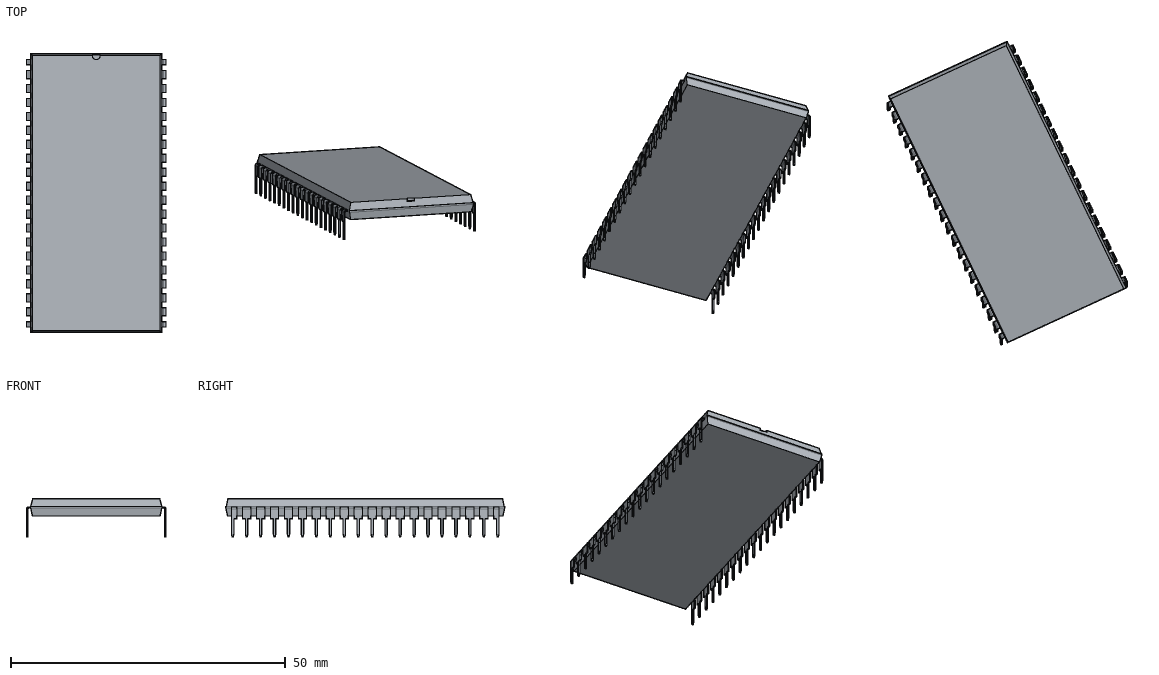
import cadquery as cq

BODY_WIDTH = 23.9
BODY_LENGTH = 50.8
BODY_HEIGHT = 3.2
BAND_HEIGHT = 0.3
BAND_LEDGE = 0.1
TOP_INSET = 0.38
BOTTOM_INSET = 0.32
NOTCH_RADIUS = 0.7
NOTCH_DEPTH = 0.5

PINS_PER_SIDE = 20
PITCH = 2.54
LEAD_SPAN = 25.4
LEAD_THICKNESS = 0.25
BEND_RADIUS = 0.42
SHOULDER_WIDTH = 1.52
BLADE_WIDTH = 0.48
TAPER_LENGTH = 0.5
TAPER_INSET = 0.13

SEATING_Z = 0.0
TOTAL_HEIGHT = 6.98
BODY_TOP = 3.7
BODY_BOTTOM = BODY_TOP - BODY_HEIGHT
LEAD_BOTTOM = BODY_TOP - TOTAL_HEIGHT
BAND_MIDDLE = (BODY_TOP + BODY_BOTTOM) / 2
BAND_TOP = BAND_MIDDLE + BAND_HEIGHT / 2
BAND_BOTTOM = BAND_MIDDLE - BAND_HEIGHT / 2
LEAD_TOP = BAND_BOTTOM + LEAD_THICKNESS

LEAD_EMBED = 1.0


def body_half(parting_z, face_z, inset, ledge):
    """Tapered block, set back from the band by the ledge at the Y ends, up or down to an inset face."""
    return (
        cq.Workplane("XY", origin=(0, 0, parting_z))
        .rect(BODY_WIDTH, BODY_LENGTH - 2 * ledge)
        .workplane(offset=face_z - parting_z)
        .rect(BODY_WIDTH - 2 * inset, BODY_LENGTH - 2 * inset)
        .loft(ruled=True)
    )


def make_body():
    """Straight band between two tapered halves, with a pin 1 notch at the +Y end."""
    band = (
        cq.Workplane("XY", origin=(0, 0, BAND_BOTTOM))
        .rect(BODY_WIDTH, BODY_LENGTH)
        .extrude(BAND_HEIGHT)
    )
    upper_half = body_half(BAND_TOP, BODY_TOP, TOP_INSET, BAND_LEDGE)
    lower_half = body_half(BAND_BOTTOM, BODY_BOTTOM, BOTTOM_INSET, 0)
    body = band.union(upper_half).union(lower_half)
    notch = (
        cq.Workplane("XY", origin=(0, BODY_LENGTH / 2 - TOP_INSET, BODY_TOP))
        .circle(NOTCH_RADIUS)
        .extrude(-NOTCH_DEPTH)
    )
    return body.cut(notch)


def lead_strip():
    """Bent strip on the -X side, as wide as a full shoulder and centred on Y = 0."""
    outer_x = -LEAD_SPAN / 2
    inner_x = outer_x + LEAD_THICKNESS
    root_x = -BODY_WIDTH / 2 + LEAD_EMBED
    lead_underside = LEAD_TOP - LEAD_THICKNESS
    bend_x = outer_x + BEND_RADIUS
    bend_z = LEAD_TOP - BEND_RADIUS
    inner_radius = BEND_RADIUS - LEAD_THICKNESS
    return (
        cq.Workplane("XZ")
        .moveTo(root_x, LEAD_TOP)
        .lineTo(bend_x, LEAD_TOP)
        .radiusArc((outer_x, bend_z), -BEND_RADIUS)
        .lineTo(outer_x, LEAD_BOTTOM)
        .lineTo(inner_x, LEAD_BOTTOM)
        .lineTo(inner_x, bend_z)
        .radiusArc((bend_x, lead_underside), inner_radius)
        .lineTo(root_x, lead_underside)
        .close()
        .extrude(SHOULDER_WIDTH / 2, both=True)
    )


def lead_outline(shoulder_start, shoulder_end):
    """Face-on outline of a lead, extruded from the centre out to the -X lead faces."""
    half_blade = BLADE_WIDTH / 2
    half_point = half_blade - TAPER_INSET
    taper_z = LEAD_BOTTOM + TAPER_LENGTH
    shoulder = (
        cq.Workplane("YZ")
        .moveTo(shoulder_start, SEATING_Z)
        .lineTo(shoulder_end, SEATING_Z)
        .lineTo(shoulder_end, LEAD_TOP)
        .lineTo(shoulder_start, LEAD_TOP)
        .close()
        .extrude(-LEAD_SPAN / 2)
    )
    blade = (
        cq.Workplane("YZ")
        .moveTo(-half_blade, SEATING_Z)
        .lineTo(-half_blade, taper_z)
        .lineTo(-half_point, LEAD_BOTTOM)
        .lineTo(half_point, LEAD_BOTTOM)
        .lineTo(half_blade, taper_z)
        .lineTo(half_blade, SEATING_Z)
        .close()
        .extrude(-LEAD_SPAN / 2)
    )
    return shoulder.union(blade)


def make_lead_row():
    """Row of leads on the -X side; the end leads have a shoulder on their inner side only."""
    strip = lead_strip()
    half_shoulder = SHOULDER_WIDTH / 2
    half_blade = BLADE_WIDTH / 2
    full_lead = strip.intersect(lead_outline(-half_shoulder, half_shoulder))
    first_lead = strip.intersect(lead_outline(-half_blade, half_shoulder))
    last_lead = strip.intersect(lead_outline(-half_shoulder, half_blade))
    leads = [first_lead] + [full_lead] * (PINS_PER_SIDE - 2) + [last_lead]
    first_y = -PITCH * (PINS_PER_SIDE - 1) / 2
    return [lead.translate((0, first_y + i * PITCH, 0)) for i, lead in enumerate(leads)]


result = make_body()
for lead in make_lead_row():
    result = result.union(lead).union(lead.mirror("YZ"))